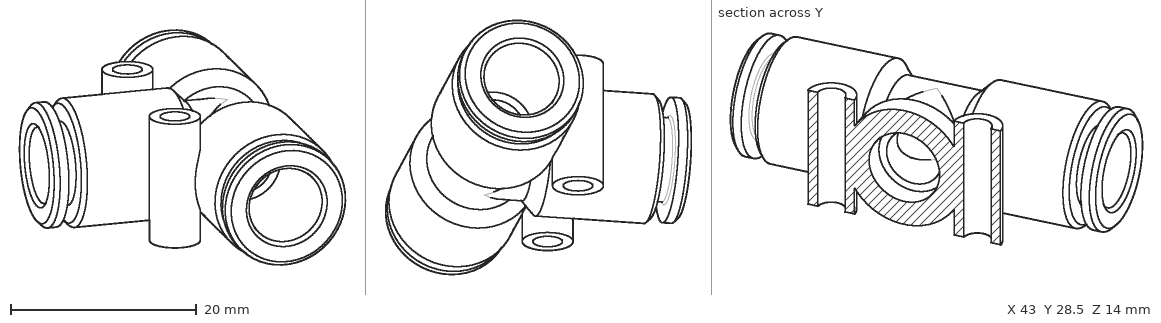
import cadquery as cq

leg_length = 21.5
body_radius = 7.0
body_start = 6.05
body_end = 18.5
body_chamfer = 0.5
core_radius = 5.45

neck_radius = 4.55
collar_radius = 6.8
collar_thickness = 1.5
collar_chamfer = 0.5
neck_fillet = 0.25

mouth_radius = 4.55
socket_radius = 4.13
socket_depth = 15.5
bore_radius = 3.22

sleeve_offset = 8.6
sleeve_radius = 2.75
sleeve_hole_radius = 1.6

LEG_DIRECTIONS = [(-1, 0, 0), (1, 0, 0), (0, -1, 0)]


def leg_sketch_plane(direction):
    """Plane whose local y axis points along a leg and whose local x axis points up."""
    up = cq.Vector(0, 0, 1)
    return cq.Workplane(cq.Plane(origin=(0, 0, 0), xDir=up, normal=up.cross(cq.Vector(direction))))


def revolve_about_leg(profile):
    """Revolve a closed (radius, distance) profile about the leg axis."""
    return profile.close().revolve(360, (0, 0), (0, 1))


def make_leg(direction):
    """Core, 45 degree shoulder, body, neck and collar of one leg."""
    shoulder_start = body_start - (body_radius - core_radius)
    collar_start = leg_length - collar_thickness
    profile = (
        leg_sketch_plane(direction)
        .polyline([
            (0, 0),
            (core_radius, 0),
            (core_radius, shoulder_start),
            (body_radius, body_start),
            (body_radius, body_end - body_chamfer),
            (body_radius - body_chamfer, body_end),
            (neck_radius, body_end),
        ])
        .lineTo(neck_radius, collar_start - neck_fillet)
        .tangentArcPoint((neck_radius + neck_fillet, collar_start), relative=False)
        .lineTo(collar_radius, collar_start)
        .lineTo(collar_radius, leg_length - collar_chamfer)
        .lineTo(collar_radius - collar_chamfer, leg_length)
        .lineTo(0, leg_length)
    )
    return revolve_about_leg(profile)


def make_passage(direction):
    """Hollow inside of one leg."""
    mouth_depth = mouth_radius - socket_radius
    socket_floor = leg_length - socket_depth
    profile = leg_sketch_plane(direction).polyline([
        (0, 0),
        (bore_radius, 0),
        (bore_radius, socket_floor),
        (socket_radius, socket_floor),
        (socket_radius, leg_length - mouth_depth),
        (mouth_radius, leg_length),
        (0, leg_length),
    ])
    return revolve_about_leg(profile)


def sleeve_cylinders(radius):
    """Two upright cylinders spanning the full height of the body."""
    return (
        cq.Workplane("XY")
        .workplane(offset=-body_radius)
        .pushPoints([(side * sleeve_offset, -sleeve_offset) for side in (-1, 1)])
        .circle(radius)
        .extrude(2 * body_radius)
    )


result = sleeve_cylinders(sleeve_radius)
for leg_direction in LEG_DIRECTIONS:
    result = result.union(make_leg(leg_direction))
for leg_direction in LEG_DIRECTIONS:
    result = result.cut(make_passage(leg_direction))
result = result.cut(sleeve_cylinders(sleeve_hole_radius))